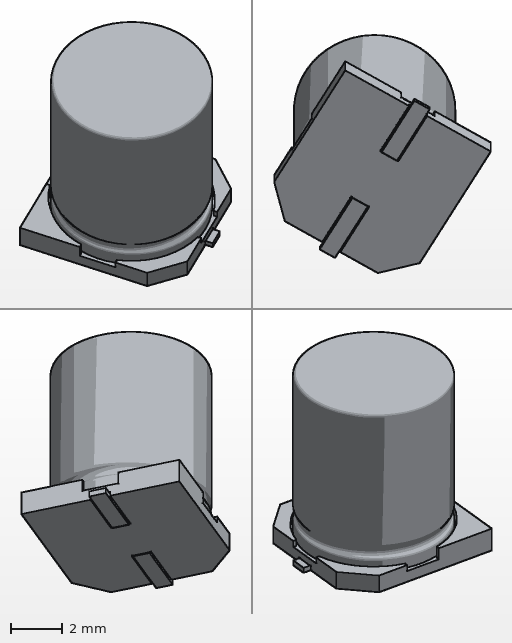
import cadquery as cq
import math


total_height = 7.72
lead_span = 7.2

base_side = 6.6
base_bottom = 0.04
base_top_high = 1.035
base_top_low = 0.8
corner_chamfer = 1.19
seat_radius = 3.24
seat_floor = 0.53
notch_width = 1.51

can_radius = 3.15
rim_fillet = 0.2
groove_middle = 1.36
groove_depth = 0.155
groove_radius = 0.3
shoulder_radius = 0.2

lead_width = 0.695
lead_thickness = 0.23
lead_gap = 2.21
slot_width = 0.82


def make_base():
    """Square base, lower on its +X half, with a round seat open to all four sides."""
    plate = (
        cq.Workplane("XY")
        .workplane(offset=base_bottom)
        .rect(base_side, base_side)
        .extrude(base_top_low - base_bottom)
        .edges("|Z and >X")
        .chamfer(corner_chamfer)
    )
    high_half = (
        cq.Workplane("XY")
        .workplane(offset=base_top_low)
        .center(-base_side / 4, 0)
        .rect(base_side / 2, base_side)
        .extrude(base_top_high - base_top_low)
    )
    seat_depth = base_top_high - seat_floor
    floor_plane = cq.Workplane("XY").workplane(offset=seat_floor)
    seat = floor_plane.circle(seat_radius).extrude(seat_depth)
    notch_x = floor_plane.rect(base_side, notch_width).extrude(seat_depth)
    notch_y = floor_plane.rect(notch_width, base_side).extrude(seat_depth)
    return plate.union(high_half).cut(seat).cut(notch_x).cut(notch_y)


def make_can():
    """Turned can with a rounded rim and a smooth groove just above the base."""
    radius_sum = groove_radius + shoulder_radius
    turn = math.acos(1 - groove_depth / radius_sum)
    half_height = radius_sum * math.sin(turn)
    groove_bottom_radius = can_radius - groove_depth

    def shoulder_point(angle):
        inset = shoulder_radius * (1 - math.cos(angle))
        drop = shoulder_radius * math.sin(angle)
        return can_radius - inset, half_height - drop

    mid_r, mid_z = shoulder_point(turn / 2)
    join_r, join_z = shoulder_point(turn)
    rim_offset = rim_fillet * (1 - math.sqrt(0.5))

    profile = (
        cq.Workplane("XZ")
        .moveTo(0, seat_floor)
        .lineTo(can_radius, seat_floor)
        .lineTo(can_radius, groove_middle - half_height)
        .threePointArc((mid_r, groove_middle - mid_z), (join_r, groove_middle - join_z))
        .threePointArc((groove_bottom_radius, groove_middle), (join_r, groove_middle + join_z))
        .threePointArc((mid_r, groove_middle + mid_z), (can_radius, groove_middle + half_height))
        .lineTo(can_radius, total_height - rim_fillet)
        .threePointArc(
            (can_radius - rim_offset, total_height - rim_offset),
            (can_radius - rim_fillet, total_height),
        )
        .lineTo(0, total_height)
        .close()
    )
    return profile.revolve(360, (0, 0), (0, 1))


def make_bar(inner_x, outer_x, width, side):
    """Bar along X, as thick as a lead, on the +X (side = 1) or -X (side = -1) half."""
    return (
        cq.Workplane("XY")
        .center(side * (inner_x + outer_x) / 2, 0)
        .rect(outer_x - inner_x, width)
        .extrude(lead_thickness)
    )


result = make_base().union(make_can())

for side in (-1, 1):
    slot = make_bar(lead_gap / 2, base_side / 2, slot_width, side)
    lead = make_bar(lead_gap / 2, lead_span / 2, lead_width, side)
    result = result.cut(slot).union(lead)